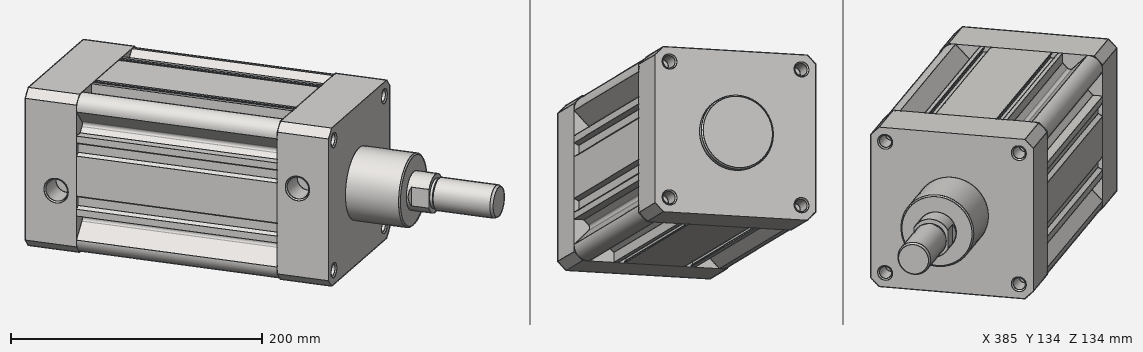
import cadquery as cq
import math


BOSS_LENGTH = 6.0
CAP_LENGTH = 44.0
BARREL_LENGTH = 171.7
COLLAR_LENGTH = 46.5
OVERALL_LENGTH = 385.0

REAR_CAP_START = BOSS_LENGTH
BARREL_START = REAR_CAP_START + CAP_LENGTH
FRONT_CAP_START = BARREL_START + BARREL_LENGTH
COLLAR_START = FRONT_CAP_START + CAP_LENGTH
ROD_START = COLLAR_START + COLLAR_LENGTH

CAP_SIZE = 134.0
HALF_SIZE = CAP_SIZE / 2
CAP_CHAMFER = 7.0
GUIDE_DIAMETER = 60.0
GUIDE_CHAMFER = 1.0
SCREW_OFFSET = 55.0
SCREW_DIAMETER = 10.0
SCREW_DEPTH = 19.2
SCREW_CHAMFER = 1.0
PORT_DIAMETER = 18.5
PORT_DEPTH = 23.0
PORT_CHAMFER = 1.0
PORT_HEIGHT = 14.5
PORT_FROM_OUTER_FACE = 26.5

SENSOR_SLOT_INNER = 17.0
SENSOR_SLOT_OUTER = 28.0
SENSOR_SLOT_DEPTH = 4.0
SENSOR_SLOT_TAPER = 2.0
T_SLOT_INNER = 25.0
T_SLOT_OUTER = 30.5
T_SLOT_DEPTH = 4.5
T_SLOT_LIP = 1.35
T_SLOT_UNDERCUT = 1.0
LIP_EDGE = 34.0
LIP_DROP = 8.0
VALLEY_ACROSS = 40.0
VALLEY_RADIUS = 3.0
CORNER_RADIUS = HALF_SIZE - SCREW_OFFSET

ROD_DIAMETER = 32.0
ROD_LAND_LENGTH = 18.5
WRENCH_FLAT_WIDTH = 27.7
WRENCH_FLAT_SETBACK = 1.5
NECK_DIAMETER = 24.5
NECK_LENGTH = 2.5
THREAD_DIAMETER = 27.0
THREAD_RUNOUT = 1.0
TIP_CHAMFER_LENGTH = 2.5
TIP_CHAMFER_DEPTH = 1.0


def section_plane(x):
    """Plane across the cylinder at x, with local axes along Y and Z."""
    return cq.Workplane("YZ", origin=(x, 0, 0))


def make_cap_block(start):
    """Square block with chamfered long corners."""
    block = section_plane(start).rect(CAP_SIZE, CAP_SIZE).extrude(CAP_LENGTH)
    return block.edges("|X").chamfer(CAP_CHAMFER)


def hole_cutter(diameter, depth, chamfer, point, direction):
    """Blind hole with a 45 degree countersunk mouth, entering at point."""
    radius = diameter / 2
    origin = cq.Vector(*point)
    inward = cq.Vector(*direction)
    bore = cq.Solid.makeCylinder(radius, depth, origin, inward)
    mouth = cq.Solid.makeCone(radius + chamfer, radius, chamfer, origin, inward)
    return bore.fuse(mouth)


def cut_screw_holes(cap, x, inward):
    """Four screw holes in the outer face of a cap."""
    for y_side in (-1, 1):
        for z_side in (-1, 1):
            mouth = (x, y_side * SCREW_OFFSET, z_side * SCREW_OFFSET)
            hole = hole_cutter(SCREW_DIAMETER, SCREW_DEPTH, SCREW_CHAMFER, mouth, (inward, 0, 0))
            cap = cap.cut(hole)
    return cap


def cut_port(cap, x, z):
    """Air port in the -Y side of a cap."""
    return cap.cut(hole_cutter(PORT_DIAMETER, PORT_DEPTH, PORT_CHAMFER, (x, -HALF_SIZE, z), (0, 1, 0)))


def make_rear_cap():
    boss = section_plane(0).circle(GUIDE_DIAMETER / 2).extrude(BOSS_LENGTH)
    boss = boss.faces("<X").chamfer(GUIDE_CHAMFER)
    cap = make_cap_block(REAR_CAP_START).union(boss)
    cap = cut_screw_holes(cap, REAR_CAP_START, 1)
    return cut_port(cap, REAR_CAP_START + PORT_FROM_OUTER_FACE, -PORT_HEIGHT)


def make_front_cap():
    collar = section_plane(COLLAR_START).circle(GUIDE_DIAMETER / 2).extrude(COLLAR_LENGTH)
    collar = collar.faces(">X").chamfer(GUIDE_CHAMFER)
    cap = make_cap_block(FRONT_CAP_START).union(collar)
    cap = cut_screw_holes(cap, COLLAR_START, -1)
    return cut_port(cap, COLLAR_START - PORT_FROM_OUTER_FACE, PORT_HEIGHT)


def make_barrel_body():
    """Four sides with 45 degree valleys beside the round corners."""
    valley_out = HALF_SIZE - LIP_DROP - (VALLEY_ACROSS - LIP_EDGE)

    wall_distance = (valley_out - VALLEY_ACROSS) / math.sqrt(2)
    half_chord = math.sqrt(CORNER_RADIUS**2 - wall_distance**2)
    ridge_across = SCREW_OFFSET + (half_chord - wall_distance) / math.sqrt(2)
    ridge_out = SCREW_OFFSET + (half_chord + wall_distance) / math.sqrt(2)
    corner_middle = SCREW_OFFSET + CORNER_RADIUS / math.sqrt(2)

    rising_side = [
        (LIP_EDGE, HALF_SIZE),
        (LIP_EDGE, HALF_SIZE - LIP_DROP),
        (VALLEY_ACROSS, valley_out),
        (ridge_across, ridge_out),
    ]
    falling_side = [(-across, out) for across, out in reversed(rising_side)]
    side = falling_side + rising_side

    def turned(point, quarter_turns):
        across, out = point
        for _ in range(quarter_turns):
            across, out = out, -across
        return across, out

    outline = section_plane(BARREL_START).moveTo(*side[0])
    for quarter in range(4):
        for point in side[1:]:
            outline = outline.lineTo(*turned(point, quarter))
        arc_middle = turned((corner_middle, corner_middle), quarter)
        outline = outline.threePointArc(arc_middle, turned(side[0], quarter + 1))
    barrel = outline.close().extrude(BARREL_LENGTH)

    for valley in ((VALLEY_ACROSS, valley_out), (valley_out, VALLEY_ACROSS)):
        for y_side in (-1, 1):
            for z_side in (-1, 1):
                middle = (BARREL_START + BARREL_LENGTH / 2, y_side * valley[0], z_side * valley[1])
                edge = cq.selectors.NearestToPointSelector(middle)
                barrel = barrel.edges("|X").edges(edge).fillet(VALLEY_RADIUS)
    return barrel


def cut_barrel_slots(barrel):
    """Tapered sensor slots in the -Y and +Y sides and T-slots in the -Z and +Z sides."""
    sensor_slot = [
        (HALF_SIZE, SENSOR_SLOT_INNER),
        (HALF_SIZE, SENSOR_SLOT_OUTER),
        (HALF_SIZE - SENSOR_SLOT_DEPTH, SENSOR_SLOT_OUTER - SENSOR_SLOT_TAPER),
        (HALF_SIZE - SENSOR_SLOT_DEPTH, SENSOR_SLOT_INNER + SENSOR_SLOT_TAPER),
    ]
    lip_underside = HALF_SIZE - T_SLOT_LIP
    floor = HALF_SIZE - T_SLOT_DEPTH
    t_slot = [
        (T_SLOT_INNER, HALF_SIZE),
        (T_SLOT_OUTER, HALF_SIZE),
        (T_SLOT_OUTER, lip_underside),
        (T_SLOT_OUTER + T_SLOT_UNDERCUT, lip_underside),
        (T_SLOT_OUTER + T_SLOT_UNDERCUT, floor),
        (T_SLOT_INNER - T_SLOT_UNDERCUT, floor),
        (T_SLOT_INNER - T_SLOT_UNDERCUT, lip_underside),
        (T_SLOT_INNER, lip_underside),
    ]
    for slot in (sensor_slot, t_slot):
        for y_side in (-1, 1):
            for z_side in (-1, 1):
                corners = [(y_side * y, z_side * z) for y, z in slot]
                cutter = section_plane(BARREL_START).polyline(corners).close().extrude(BARREL_LENGTH)
                barrel = barrel.cut(cutter)
    return barrel


def make_rod():
    land_radius = ROD_DIAMETER / 2
    neck_radius = NECK_DIAMETER / 2
    thread_radius = THREAD_DIAMETER / 2
    shoulder = ROD_START + ROD_LAND_LENGTH
    neck_end = shoulder + NECK_LENGTH
    profile = [
        (ROD_START, 0),
        (ROD_START, land_radius),
        (shoulder, land_radius),
        (shoulder, neck_radius),
        (neck_end, neck_radius),
        (neck_end + THREAD_RUNOUT, thread_radius),
        (OVERALL_LENGTH - TIP_CHAMFER_LENGTH, thread_radius),
        (OVERALL_LENGTH, thread_radius - TIP_CHAMFER_DEPTH),
        (OVERALL_LENGTH, 0),
    ]
    rod = cq.Workplane("XY").polyline(profile).close().revolve(360, (0, 0, 0), (1, 0, 0))

    flat_start = ROD_START + WRENCH_FLAT_SETBACK
    flat_out = WRENCH_FLAT_WIDTH / 2
    flat_depth = land_radius - flat_out
    for side in (-1, 1):
        waste = (
            cq.Workplane("XY")
            .moveTo(flat_start, side * land_radius)
            .lineTo(flat_start + flat_depth, side * flat_out)
            .lineTo(shoulder, side * flat_out)
            .lineTo(shoulder, side * land_radius)
            .close()
            .extrude(land_radius, both=True)
        )
        rod = rod.cut(waste)
    return rod


rear_cap = make_rear_cap()
barrel = cut_barrel_slots(make_barrel_body())
front_cap = make_front_cap()
rod = make_rod()

result = cq.Compound.makeCompound([rear_cap.val(), barrel.val(), front_cap.val(), rod.val()])